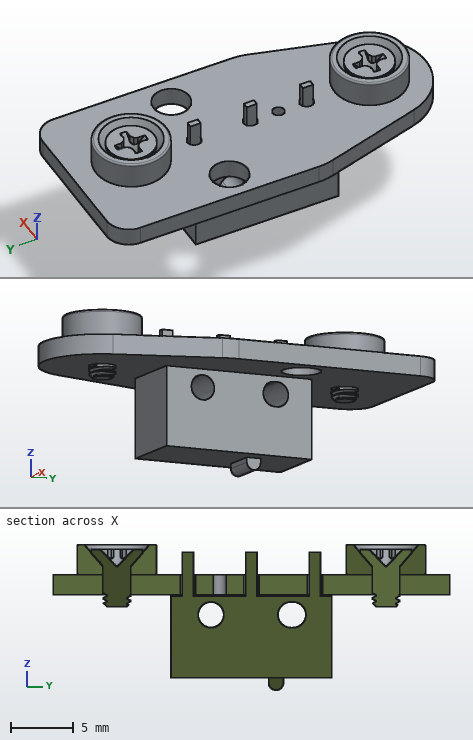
import cadquery as cq
import math

board_length = 31.68
board_width = 15.0
board_thickness = 1.6
tip_radius = 5.07
corner_radius = 2.0
shoulder_y = -2.95
shoulder_radius = 5.07
mount_hole_diameter = 3.2
mount_hole_x = 5.0
mount_hole_y = 4.5
guide_hole_diameter = 1.0

fastener_y = 10.75
washer_height = 2.4
washer_diameter = 6.37
washer_edge = 0.15
countersink_diameter = 5.23
head_diameter = 4.12
head_drop = 0.38
head_rim = 0.25
shank_diameter = 2.2
shank_projection = 0.95
tip_chamfer = 0.32

thread_pitch = 0.45
thread_depth = 0.32
thread_land = 0.1
thread_overrun = 0.32
groove_clearance = 0.03

recess_span = 2.75
recess_arm_width = 0.55
recess_flare = 0.73
recess_corner = 0.45
recess_depth = 1.4

switch_length = 12.85
switch_width = 5.83
switch_height = 6.53
switch_gap = 0.1
switch_hole_diameter = 2.03
switch_slot_length = 2.22
switch_hole_y = 3.23
switch_hole_drop = 1.5
terminal_pitch = 5.07
terminal_thickness = 0.5
terminal_width = 0.92
terminal_projection = 1.8
terminal_hole_diameter = 1.2
button_width = 2.98
button_thickness = 1.2
button_projection = 0.98
button_y = 1.95

washer_top = board_thickness + washer_height
head_top = washer_top - head_drop
countersink_slope = (head_drop + head_rim) / ((countersink_diameter - head_diameter) / 2)
countersink_depth = countersink_slope * (countersink_diameter - shank_diameter) / 2
head_cone_top = head_top - head_rim
head_cone_height = countersink_depth - head_drop - head_rim
head_cone_bottom = head_cone_top - head_cone_height
switch_top = -switch_gap
switch_bottom = switch_top - switch_height
fastener_ys = (-fastener_y, fastener_y)
terminal_ys = (-terminal_pitch, 0, terminal_pitch)


def make_board():
    """Plate with rounded corners at +Y and a tapered round tip at -Y."""
    half_width = board_width / 2
    tip_center_y = tip_radius - board_length / 2

    rise = shoulder_y - tip_center_y
    reach = math.hypot(half_width, rise)
    tangent_angle = math.atan2(rise, half_width) - math.acos(tip_radius / reach)
    tangent_x = tip_radius * math.cos(tangent_angle)
    tangent_y = tip_center_y + tip_radius * math.sin(tangent_angle)

    plate = (
        cq.Workplane("XY")
        .moveTo(-half_width, board_length / 2)
        .lineTo(half_width, board_length / 2)
        .lineTo(half_width, shoulder_y)
        .lineTo(tangent_x, tangent_y)
        .threePointArc((0, -board_length / 2), (-tangent_x, tangent_y))
        .lineTo(-half_width, shoulder_y)
        .close()
        .extrude(board_thickness)
    )
    plate = plate.edges("|Z").edges(">Y").fillet(corner_radius)
    shoulder_points = [(x, shoulder_y, board_thickness / 2) for x in (-half_width, half_width)]
    for point in shoulder_points:
        plate = plate.edges(cq.selectors.NearestToPointSelector(point)).fillet(shoulder_radius)

    def drill(body, points, diameter):
        return body.cut(cq.Workplane("XY").pushPoints(points).circle(diameter / 2).extrude(board_thickness))

    plate = drill(plate, [(x, mount_hole_y) for x in (-mount_hole_x, mount_hole_x)], mount_hole_diameter)
    plate = drill(plate, [(0, y) for y in terminal_ys], terminal_hole_diameter)
    plate = drill(plate, [(0, -terminal_pitch / 2)], guide_hole_diameter)
    return drill(plate, [(0, y) for y in fastener_ys], shank_diameter)


def make_washer(y):
    """Thick washer with eased outer edges and a countersunk bore."""
    body = (
        cq.Workplane("XY")
        .workplane(offset=board_thickness)
        .circle(washer_diameter / 2)
        .extrude(washer_height)
        .edges()
        .fillet(washer_edge)
        .faces(">Z")
        .workplane()
        .circle(shank_diameter / 2)
        .cutThruAll()
    )
    countersink = cq.Solid.makeCone(
        shank_diameter / 2,
        countersink_diameter / 2,
        countersink_depth,
        pnt=cq.Vector(0, 0, washer_top - countersink_depth),
    )
    return body.cut(cq.Workplane(countersink)).translate((0, y, 0))


def make_cross_recess():
    """Cross-shaped prism with a wider core, limited to a cone that points down."""
    bottom = head_top - recess_depth
    base = cq.Workplane("XY").workplane(offset=bottom)
    half_arm = recess_arm_width / 2
    core_points = []
    for quarter in range(4):
        turn = math.radians(90 * quarter)
        for x, y in ((recess_flare, half_arm), (recess_corner, recess_corner), (half_arm, recess_flare)):
            core_points.append(
                (x * math.cos(turn) - y * math.sin(turn), x * math.sin(turn) + y * math.cos(turn))
            )
    cross = base.polyline(core_points).close().extrude(recess_depth)
    for size in ((recess_span, recess_arm_width), (recess_arm_width, recess_span)):
        cross = cross.union(base.rect(*size).extrude(recess_depth))
    cone = cq.Solid.makeCone(0, recess_span / 2, recess_depth, pnt=cq.Vector(0, 0, bottom))
    return cross.intersect(cq.Workplane(cone))


def make_thread_groove():
    """V-shaped helical groove that runs from below the screw tip up to the board."""
    start_z = -shank_projection - thread_overrun
    helix = cq.Wire.makeHelix(thread_pitch, -start_z, shank_diameter / 2, center=cq.Vector(0, 0, start_z))
    root_radius = shank_diameter / 2 - thread_depth
    mouth_radius = shank_diameter / 2 + groove_clearance
    groove_slope = (thread_pitch - thread_land) / 2 / thread_depth
    half_mouth = groove_slope * (mouth_radius - root_radius)
    return (
        cq.Workplane("XZ")
        .moveTo(root_radius, start_z)
        .lineTo(mouth_radius, start_z + half_mouth)
        .lineTo(mouth_radius, start_z - half_mouth)
        .close()
        .sweep(cq.Workplane(helix), isFrenet=True)
    )


def make_screw(y):
    """Flat-head screw with a cross recess and a threaded, chamfered tip."""
    shank = (
        cq.Workplane("XY")
        .workplane(offset=-shank_projection)
        .circle(shank_diameter / 2)
        .extrude(shank_projection + head_cone_bottom)
        .faces("<Z")
        .chamfer(tip_chamfer)
        .cut(make_thread_groove())
    )
    head_cone = cq.Solid.makeCone(
        shank_diameter / 2, head_diameter / 2, head_cone_height, pnt=cq.Vector(0, 0, head_cone_bottom)
    )
    rim = cq.Workplane("XY").workplane(offset=head_cone_top).circle(head_diameter / 2).extrude(head_rim)
    screw = shank.union(cq.Workplane(head_cone)).union(rim).cut(make_cross_recess())
    return screw.translate((0, y, 0))


def make_switch():
    """Switch housing with two cross holes and three terminals on top."""
    housing = (
        cq.Workplane("XY")
        .workplane(offset=switch_bottom)
        .rect(switch_width, switch_length)
        .extrude(switch_height)
    )
    hole_z = switch_top - switch_hole_drop
    holes = cq.Workplane("YZ").center(-switch_hole_y, hole_z).circle(switch_hole_diameter / 2)
    holes = holes.extrude(switch_width, both=True)
    slot = cq.Workplane("YZ").center(switch_hole_y, hole_z)
    slot = slot.slot2D(switch_slot_length, switch_hole_diameter).extrude(switch_width, both=True)
    housing = housing.cut(holes).cut(slot)

    terminals = (
        cq.Workplane("XY")
        .workplane(offset=switch_top)
        .pushPoints([(0, y) for y in terminal_ys])
        .rect(terminal_thickness, terminal_width)
        .extrude(switch_gap + board_thickness + terminal_projection)
    )
    return housing.union(terminals)


def make_button():
    """Push button with a fully rounded lower end."""
    radius = button_thickness / 2
    straight_end = switch_bottom - button_projection + radius
    return (
        cq.Workplane("YZ")
        .moveTo(button_y - radius, switch_bottom)
        .lineTo(button_y - radius, straight_end)
        .threePointArc((button_y, straight_end - radius), (button_y + radius, straight_end))
        .lineTo(button_y + radius, switch_bottom)
        .close()
        .extrude(button_width / 2, both=True)
    )


board = make_board()
switch = make_switch()
button = make_button()
washers = [make_washer(y) for y in fastener_ys]
screws = [make_screw(y) for y in fastener_ys]

result = cq.Compound.makeCompound(
    [board.val(), switch.val(), button.val()]
    + [washer.solids().val() for washer in washers]
    + [screw.solids().val() for screw in screws]
)